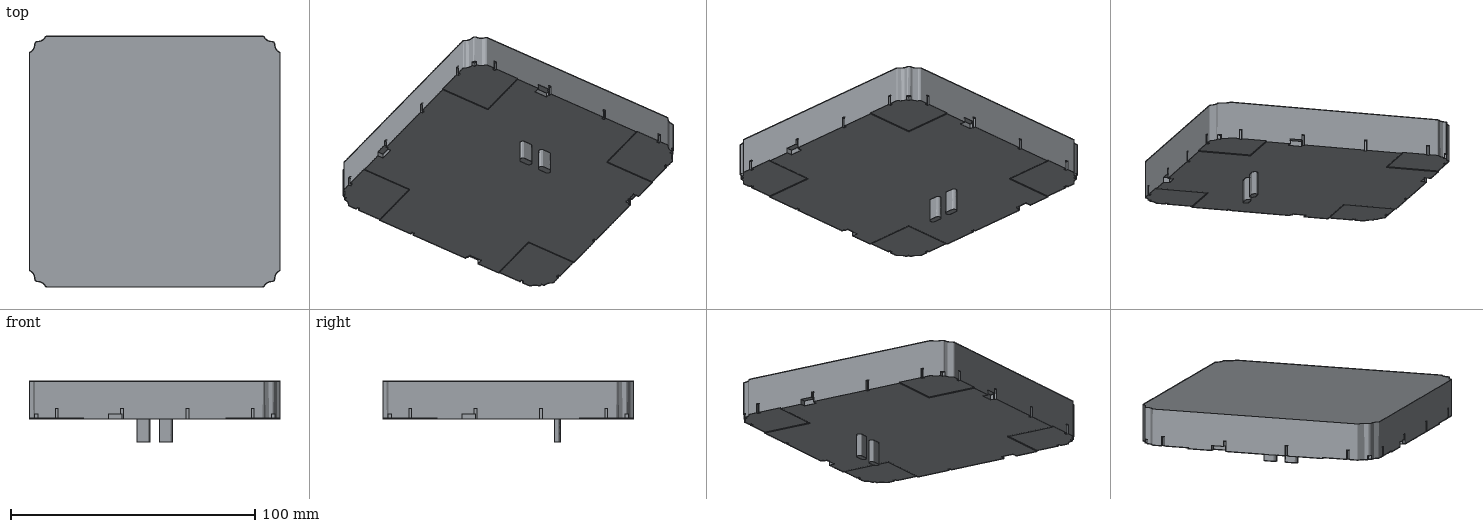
import cadquery as cq
import math

SIDE = 102.8
TOTAL_HEIGHT = 25.0
BODY_HEIGHT = 15.6
HALF = SIDE / 2

NOSE_REACH = 49.2
NOSE_RADIUS = 1.3
FLANK_RADIUS = 3.5
BLEND_RADIUS = 1.0

SLOT_WIDTH = 1.1
SLOT_HEIGHT = 4.3
SLOT_DEPTH = 1.0
SLOT_PITCH = 26.8
SLOTS_PER_SIDE = 4

NOTCH_HEIGHT = 2.1
NOTCH_DEPTH = 2.5
NOTCH_OUTER = -19.0
NOTCH_INNER = -SLOT_PITCH / 2

RELIEF_START = 29.2
RELIEF_HEIGHT = 0.4

PRONG_LENGTH = TOTAL_HEIGHT - BODY_HEIGHT
PRONG_WIDTH = 5.4
PRONG_THICKNESS = 2.4
PRONG_SPACING = 9.2
PRONG_Y = 20.1
PRONG_FLARE_ANGLE = 0.3

QUARTER_TURNS = (0, 90, 180, 270)


def turned(point, angle):
    """Rotate a plan point about the tile centre."""
    c = math.cos(math.radians(angle))
    s = math.sin(math.radians(angle))
    return (point[0] * c - point[1] * s, point[0] * s + point[1] * c)


def on_circle(centre, radius, angle):
    """Plan point on a circle at an angle in degrees from +X."""
    a = math.radians(angle)
    return (centre[0] + radius * math.cos(a), centre[1] + radius * math.sin(a))


def mirrored(point):
    """Reflect a plan point in the diagonal through the +X +Y corner."""
    return (point[1], point[0])


def corner_arcs():
    """Arcs (middle, end) round the +X +Y corner, from the right side to the top side."""
    nose_centre = (NOSE_REACH - NOSE_RADIUS, NOSE_REACH - NOSE_RADIUS)
    flank_centre = (NOSE_REACH + FLANK_RADIUS, nose_centre[1])
    reach = FLANK_RADIUS + BLEND_RADIUS
    offset = flank_centre[0] - (HALF - BLEND_RADIUS)
    swing = math.degrees(math.acos(offset / reach))
    blend_centre = (HALF - BLEND_RADIUS, flank_centre[1] - reach * math.sin(math.radians(swing)))

    side_end = (HALF, blend_centre[1])
    blend_middle = on_circle(blend_centre, BLEND_RADIUS, swing / 2)
    blend_end = on_circle(blend_centre, BLEND_RADIUS, swing)
    flank_middle = on_circle(flank_centre, FLANK_RADIUS, 180 + swing / 2)
    nose_start = (NOSE_REACH, nose_centre[1])
    nose_middle = on_circle(nose_centre, NOSE_RADIUS, 45)

    arcs = [
        (blend_middle, blend_end),
        (flank_middle, nose_start),
        (nose_middle, mirrored(nose_start)),
        (mirrored(flank_middle), mirrored(blend_end)),
        (mirrored(blend_middle), mirrored(side_end)),
    ]
    return side_end, arcs


def make_body():
    side_end, arcs = corner_arcs()
    outline = cq.Workplane("XY").moveTo(side_end[0], -side_end[1])
    for angle in QUARTER_TURNS:
        outline = outline.lineTo(*turned(side_end, angle))
        for middle, end in arcs:
            outline = outline.threePointArc(turned(middle, angle), turned(end, angle))
    return outline.close().extrude(BODY_HEIGHT)


def edge_cut(start, end, depth, height):
    """Block cut into the lower edge of the -Y side between two X positions."""
    return cq.Workplane("XY").box(end - start, depth, height, centered=False).translate((start, -HALF, 0))


def side_cuts():
    """All cuts that belong to the -Y side."""
    cuts = edge_cut(NOTCH_OUTER, NOTCH_INNER, NOTCH_DEPTH, NOTCH_HEIGHT)
    first_slot = -SLOT_PITCH * (SLOTS_PER_SIDE - 1) / 2
    for i in range(SLOTS_PER_SIDE):
        x = first_slot + i * SLOT_PITCH
        cuts = cuts.union(edge_cut(x - SLOT_WIDTH / 2, x + SLOT_WIDTH / 2, SLOT_DEPTH, SLOT_HEIGHT))
    return cuts


def corner_block(size, height):
    """Square block at the foot of the -X -Y corner."""
    return cq.Workplane("XY").box(size, size, height, centered=False).translate((-HALF, -HALF, 0))


def corner_cuts():
    """Shallow relief under the -X -Y corner and the cut that squares off the foot of its nose."""
    relief = corner_block(HALF - RELIEF_START, RELIEF_HEIGHT)
    nose_foot = corner_block(HALF - NOSE_REACH + NOSE_RADIUS, NOTCH_HEIGHT)
    return relief.union(nose_foot)


def make_prongs():
    """Oblong prongs that widen slightly towards their tips."""
    return (
        cq.Workplane("XY")
        .pushPoints([(-PRONG_SPACING / 2, PRONG_Y), (PRONG_SPACING / 2, PRONG_Y)])
        .slot2D(PRONG_WIDTH, PRONG_THICKNESS)
        .extrude(-PRONG_LENGTH, taper=-PRONG_FLARE_ANGLE)
    )


body = make_body()
quarter_cuts = side_cuts().union(corner_cuts())
for turn in QUARTER_TURNS:
    body = body.cut(quarter_cuts.rotate((0, 0, 0), (0, 0, 1), turn))

result = body.union(make_prongs())